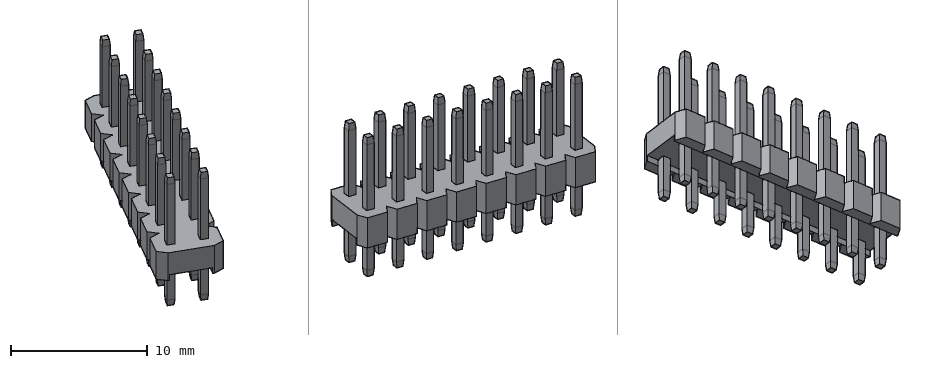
import cadquery as cq

columns = 8
rows = 2
pitch = 2.55
length = columns * pitch
width = rows * pitch

body_height = 2.5
notch_half_width = 0.4
notch_depth = 0.8
channel_width = 3.25
channel_depth = 0.5

pin_size = 0.63
tip_size = 0.5
tip_length = 0.55
pin_above_body = 6.0
pin_below_body = 3.0
pin_length = pin_above_body + body_height + pin_below_body


def make_notch(x, side):
    """V-notch through the body height, centred at x on the +Y or -Y side."""
    edge_y = side * width / 2
    return (
        cq.Workplane("XY")
        .moveTo(x - notch_half_width, edge_y)
        .lineTo(x, edge_y - side * notch_depth)
        .lineTo(x + notch_half_width, edge_y)
        .close()
        .extrude(body_height)
    )


def make_body():
    """Block with V-notches between columns, half notches at its corners and a channel underneath."""
    body = cq.Workplane("XY").box(length, width, body_height, centered=(True, True, False))
    for index in range(columns + 1):
        x = index * pitch - length / 2
        for side in (-1, 1):
            body = body.cut(make_notch(x, side))
    channel = cq.Workplane("XY").box(length, channel_width, channel_depth, centered=(True, True, False))
    return body.cut(channel)


def make_tip(z, direction):
    """Tapered pin end that starts at height z and points up (1) or down (-1)."""
    return (
        cq.Workplane("XY", origin=(0, 0, z))
        .rect(pin_size, pin_size)
        .workplane(offset=direction * tip_length)
        .rect(tip_size, tip_size)
        .loft(ruled=True)
    )


def make_pin():
    """Pin on the Z axis, reaching through the body and past it at both ends."""
    shank_bottom = tip_length - pin_below_body
    shank_length = pin_length - 2 * tip_length
    shank = (
        cq.Workplane("XY", origin=(0, 0, shank_bottom))
        .rect(pin_size, pin_size)
        .extrude(shank_length)
    )
    upper_tip = make_tip(shank_bottom + shank_length, 1)
    lower_tip = make_tip(shank_bottom, -1)
    return shank.union(upper_tip).union(lower_tip)


result = make_body()
pin = make_pin()
for column in range(columns):
    pin_x = (column + 0.5) * pitch - length / 2
    for row in range(rows):
        pin_y = (row + 0.5) * pitch - width / 2
        result = result.union(pin.translate((pin_x, pin_y, 0)))